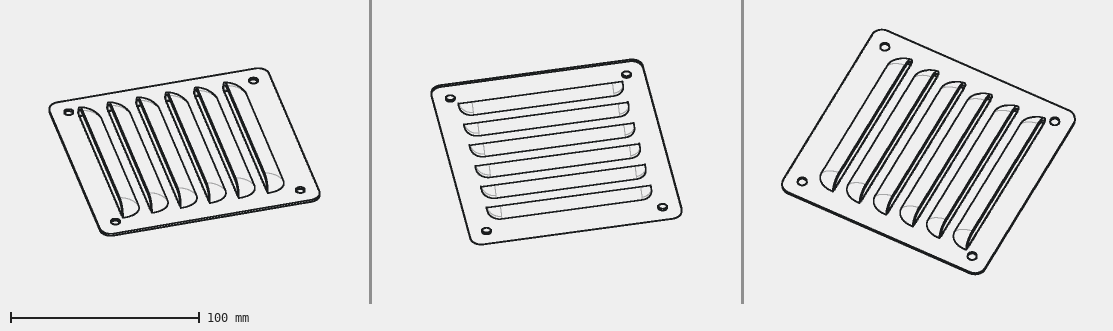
import cadquery as cq
import math

plate_width = 114.3
plate_length = 120.6
sheet = 1.5
corner_radius = 6
hole_diameter = 5.0
hole_inset = 9.5

louver_count = 6
louver_pitch = 15.9
louver_width = 91.6
louver_height = 7.8
hood_radius = 15.7
axis_depth = 7.5
first_mouth_y = -46.2

inner_radius = hood_radius - sheet
inner_end_radius = louver_height - sheet
inner_width = louver_width - 2 * sheet
outer_lip_offset = math.sqrt(hood_radius**2 - (axis_depth + louver_height) ** 2)
mouth_offset = outer_lip_offset * inner_radius / hood_radius
axis_y = first_mouth_y - mouth_offset
axis_z = sheet - axis_depth


def make_plate():
    plate = cq.Workplane("XY").rect(plate_width, plate_length).extrude(sheet)
    plate = plate.edges("|Z").fillet(corner_radius)
    return (
        plate.faces(">Z")
        .workplane()
        .rect(plate_width - 2 * hole_inset, plate_length - 2 * hole_inset, forConstruction=True)
        .vertices()
        .hole(hole_diameter)
    )


def make_cavity():
    """Space under the hood nearest -Y, from the plate bottom up to the inner skin."""
    half_width = inner_width / 2
    half_crown = half_width - inner_end_radius
    shoulder = inner_radius - inner_end_radius
    bend = inner_end_radius * math.sqrt(0.5)
    ring = (
        cq.Workplane("XZ", origin=(0, axis_y, axis_z))
        .moveTo(-half_width, 0)
        .lineTo(-half_width, shoulder)
        .threePointArc((-half_crown - bend, shoulder + bend), (-half_crown, inner_radius))
        .lineTo(half_crown, inner_radius)
        .threePointArc((half_crown + bend, shoulder + bend), (half_width, shoulder))
        .lineTo(half_width, 0)
        .close()
        .revolve(360, (0, 0), (1, 0))
    )
    behind_mouth = cq.Workplane("XY", origin=(0, first_mouth_y, 0)).box(
        louver_width, hood_radius, hood_radius, centered=(True, False, False)
    )
    return ring.intersect(behind_mouth)


def make_hood(cavity):
    """Sheet grown outwards from the closed sides of the cavity, leaving its mouth and bottom open."""
    skin = cq.Shell.makeShell(cavity.faces("not(|Z or <Y)").vals())
    return cq.Workplane(cq.occ_impl.shapes.offset(skin, sheet))


first_cavity = make_cavity()
first_hood = make_hood(first_cavity)

result = make_plate()
for index in range(louver_count):
    shift = (0, index * louver_pitch, 0)
    result = result.cut(first_cavity.translate(shift)).union(first_hood.translate(shift))